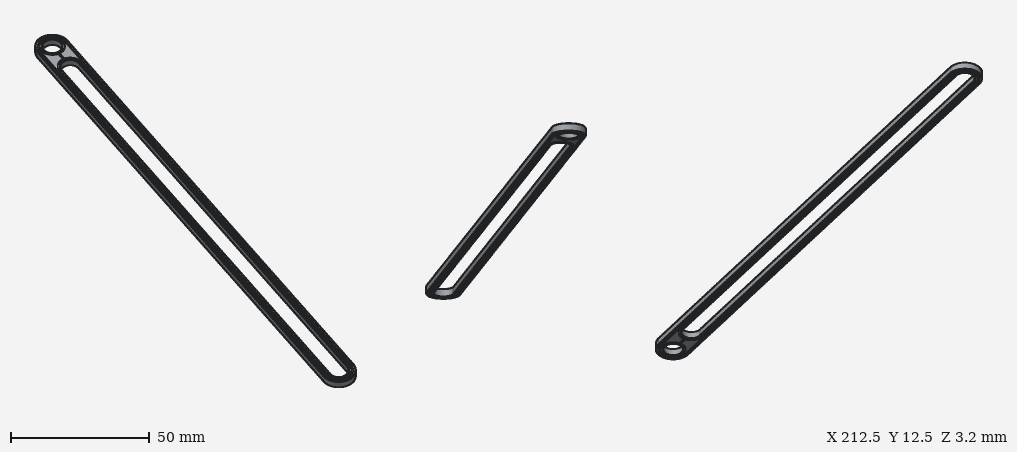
import cadquery as cq

length = 212.5
width = 12.5
thickness = 3.2

opening_width = 7.0
web_thickness = 5.5

edge_chamfer = 0.32

recess_depth = 0.32
outer_lip = 1.0
opening_lip = 1.0
web_rib_width = 0.5

end_center_x = (length - width) / 2
hole_x = -end_center_x
slot_start_x = hole_x + opening_width + web_thickness
web_center_x = (hole_x + slot_start_x) / 2

top_z = thickness / 2


def round_bar(bar_width, start_x, end_x, height):
    """Round-ended bar on Z = 0 whose end arcs are centred on start_x and end_x."""
    travel = end_x - start_x
    outline = cq.Workplane("XY").center((start_x + end_x) / 2, 0)
    return outline.slot2D(travel + bar_width, bar_width).extrude(height)


def hole_disc(diameter, height):
    return cq.Workplane("XY").center(hole_x, 0).circle(diameter / 2).extrude(height)


def frame_plate():
    """Plate with the hole and the slot through it and all flat-face edges chamfered."""
    plate = round_bar(width, -end_center_x, end_center_x, thickness)
    plate = plate.cut(hole_disc(opening_width, thickness))
    plate = plate.cut(round_bar(opening_width, slot_start_x, end_center_x, thickness))
    return plate.faces("<Z or >Z").edges().chamfer(edge_chamfer).translate((0, 0, -top_z))


def recess():
    """Recess volume for one face: a band around both openings, split by a rib across the web."""
    lip_width = opening_width + 2 * opening_lip
    band = round_bar(width - 2 * outer_lip, -end_center_x, end_center_x, recess_depth)
    band = band.cut(hole_disc(lip_width, recess_depth))
    band = band.cut(round_bar(lip_width, slot_start_x, end_center_x, recess_depth))
    rib = cq.Workplane("XY").center(web_center_x, 0).rect(slot_start_x - hole_x, web_rib_width)
    return band.cut(rib.extrude(recess_depth))


upper_recess = recess().translate((0, 0, top_z - recess_depth))
result = frame_plate().cut(upper_recess).cut(upper_recess.mirror("XY"))